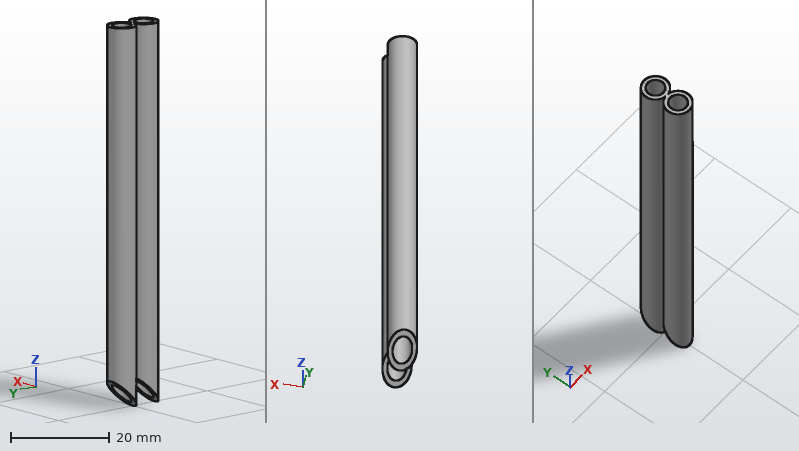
import cadquery as cq

length = 80.0
outer_diameter = 6.0
bore_diameter = 4.0
tube_spacing = 5.9

outer_radius = outer_diameter / 2


def beveled_tube(center_y):
    """Vertical tube with its lower end cut at 45 degrees, its tip on the -Y side."""
    tube = (
        cq.Workplane("XY")
        .center(0, center_y)
        .circle(outer_radius)
        .circle(bore_diameter / 2)
        .extrude(length)
    )
    tip_y = center_y - outer_radius
    heel_y = center_y + outer_radius
    bevel_waste = (
        cq.Workplane("YZ")
        .polyline([(tip_y, 0), (heel_y, 0), (heel_y, outer_diameter)])
        .close()
        .extrude(outer_radius, both=True)
    )
    return tube.cut(bevel_waste)


result = beveled_tube(-tube_spacing / 2).union(beveled_tube(tube_spacing / 2))